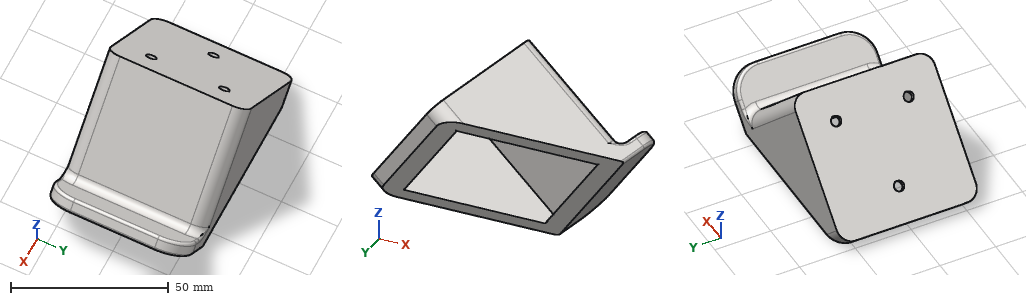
import cadquery as cq
import math


TILT = 45.0
BLOCK_SIZE = 50.0
BLOCK_CORNER_RADIUS = 5.0
LOWER_EDGE_DEPTH = 5.0
HOOK_THICKNESS = 5.0
HOOK_REACH = 15.0
HOOK_CORNER_RADIUS = 10.0
HOOK_EDGE_RADIUS = 1.0
ROOT_FILLET_RADIUS = 3.0
WALL = 5.0
FACE_WALL = 2.0
HOLE_DIAMETER = 3.5
HOLE_OFFSET = 13.0

FACE_CENTRE = BLOCK_SIZE / 2
HOOK_FRONT = BLOCK_SIZE - HOOK_THICKNESS
HOOK_TIP = BLOCK_SIZE + HOOK_REACH
CAVITY_SIZE = BLOCK_SIZE - 2 * WALL
CAVITY_DEPTH = HOOK_FRONT - FACE_WALL
LOWER_EDGE_HEIGHT = LOWER_EDGE_DEPTH * math.cos(math.radians(TILT))
SELECTION_MARGIN = 0.01
OVERSIZE = 4 * BLOCK_SIZE


def block():
    body = cq.Workplane("XY").center(FACE_CENTRE, 0).rect(BLOCK_SIZE, BLOCK_SIZE).extrude(-BLOCK_SIZE)
    return body.edges("|Z").fillet(BLOCK_CORNER_RADIUS)


def block_on_wide_plate():
    """Block joined to an oversized plate, so that the root fillet runs freely around it."""
    plate = (
        cq.Workplane("XY", origin=(FACE_CENTRE, 0, -HOOK_FRONT))
        .rect(OVERSIZE, OVERSIZE)
        .extrude(-HOOK_THICKNESS)
    )
    root_edges = cq.selectors.BoxSelector(
        (-SELECTION_MARGIN, -FACE_CENTRE - SELECTION_MARGIN, -HOOK_FRONT - SELECTION_MARGIN),
        (BLOCK_SIZE + SELECTION_MARGIN, FACE_CENTRE + SELECTION_MARGIN, -HOOK_FRONT + SELECTION_MARGIN),
    )
    return block().union(plate).edges(root_edges).fillet(ROOT_FILLET_RADIUS)


def outline():
    """Straight-sided prism that bounds the block and the hook with its rounded tip."""
    prism = cq.Workplane("XY").center(HOOK_TIP / 2, 0).rect(HOOK_TIP, BLOCK_SIZE).extrude(-BLOCK_SIZE)
    prism = prism.edges("|Z and >X").fillet(HOOK_CORNER_RADIUS)
    return prism.edges("|Z and <X").fillet(BLOCK_CORNER_RADIUS)


def round_hook_edges(body):
    """Round both edges of the hook; each fillet follows its tangent chain along the sides."""
    inner_tip = cq.selectors.NearestToPointSelector((HOOK_TIP, 0, -HOOK_FRONT))
    outer_tip = cq.selectors.NearestToPointSelector((HOOK_TIP, 0, -BLOCK_SIZE))
    tip_edges = body.edges(inner_tip).add(body.edges(outer_tip))
    return body.newObject(tip_edges.vals()).fillet(HOOK_EDGE_RADIUS)


def cavity():
    return (
        cq.Workplane("XY", origin=(FACE_CENTRE, 0, -FACE_WALL))
        .rect(CAVITY_SIZE, CAVITY_SIZE)
        .extrude(-CAVITY_DEPTH)
    )


def screw_holes():
    positions = [(-HOLE_OFFSET, 0), (HOLE_OFFSET, -HOLE_OFFSET), (HOLE_OFFSET, HOLE_OFFSET)]
    return (
        cq.Workplane("XY", origin=(FACE_CENTRE, 0, 0))
        .pushPoints(positions)
        .circle(HOLE_DIAMETER / 2)
        .extrude(-2 * FACE_WALL)
    )


def tilt_onto_base(body):
    """Tilt about the lower edge, lift, and remove everything under the base plane Z = 0."""
    tilted = body.rotate((0, 0, 0), (0, 1, 0), -TILT).translate((0, 0, LOWER_EDGE_HEIGHT))
    below_base = cq.Workplane("XY").rect(OVERSIZE, OVERSIZE).extrude(-OVERSIZE)
    return tilted.cut(below_base)


shell = block_on_wide_plate().intersect(outline()).clean()
shell = round_hook_edges(shell)
shell = shell.cut(cavity()).cut(screw_holes())

result = tilt_onto_base(shell)